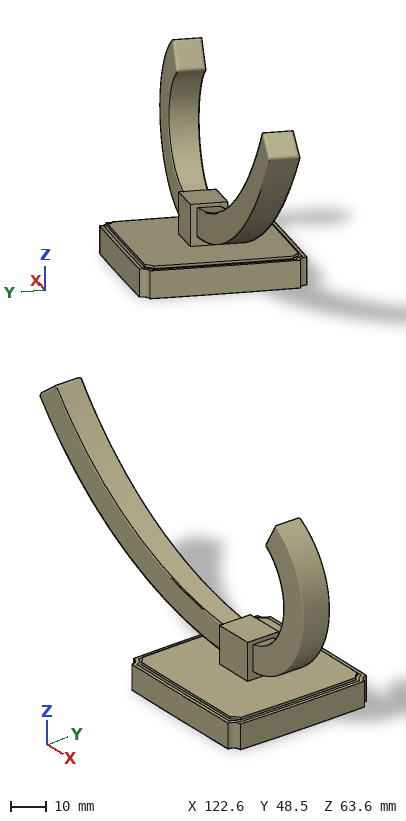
import cadquery as cq
import math

BASE_LENGTH = 49.6
BASE_WIDTH = 48.2
BASE_HEIGHT = 8.1
BOW_X = 0.28
BOW_Y = 0.13
CORNER_RADIUS = 2.5
RIM_THICKNESS = 1.1
PANEL_INSET = 2.0
PANEL_RISE = 0.75
PANEL_TOP = BASE_HEIGHT + PANEL_RISE

BLOCK_LENGTH = 13.0
BLOCK_WIDTH = 10.8
BLOCK_HEIGHT = 12.2

ROOT_SIZE = (6.9, 8.4)
ROOT_OVERLAP = 1.0
TIP_FILLET = 0.9
LONG_EDGE_FILLET = 0.25
LONG_EDGE_COUNT = 4

LONG_MID_SIZE = (8.15, 9.2)
LONG_TIP_SIZE = (9.0, 9.6)
LONG_BEND_RADIUS = 116.0
LONG_BEND_CENTER = (4.75, 131.15)
LONG_TIP_ANGLE = -142.83

SHORT_MID_SIZE = (8.9, 9.5)
SHORT_TIP_SIZE = (8.5, 9.5)
SHORT_BEND_RADIUS = 22.95
SHORT_BEND_CENTER = (3.7, 38.2)
SHORT_TIP_ANGLE = 60.0


def plate(inset, height):
    """Plate with bowed sides and concave round corners, set in from the base outline."""
    corner_x = BASE_LENGTH / 2
    corner_y = BASE_WIDTH / 2
    x = corner_x - inset
    y = corner_y - inset
    radius = CORNER_RADIUS + inset
    reach = math.sqrt(radius**2 - inset**2)
    side_x = corner_x - reach
    side_y = corner_y - reach
    diagonal = radius * math.sqrt(0.5)
    arc_x = corner_x - diagonal
    arc_y = corner_y - diagonal
    return (
        cq.Workplane("XY")
        .moveTo(-side_x, -y)
        .threePointArc((0, -y - BOW_Y), (side_x, -y))
        .threePointArc((arc_x, -arc_y), (x, -side_y))
        .threePointArc((x + BOW_X, 0), (x, side_y))
        .threePointArc((arc_x, arc_y), (side_x, y))
        .threePointArc((0, y + BOW_Y), (-side_x, y))
        .threePointArc((-arc_x, arc_y), (-x, side_y))
        .threePointArc((-x - BOW_X, 0), (-x, -side_y))
        .threePointArc((-arc_x, -arc_y), (-side_x, -y))
        .close()
        .extrude(height)
    )


def make_shell():
    """Outer wall of the base, open for the insert."""
    return plate(0, BASE_HEIGHT).cut(plate(RIM_THICKNESS, BASE_HEIGHT))


def make_insert():
    """Filling of the shell, with a raised panel stepped in from the rim."""
    return plate(RIM_THICKNESS, BASE_HEIGHT).union(plate(PANEL_INSET, PANEL_TOP))


def make_block():
    """Plain block standing on the middle of the panel."""
    return (
        cq.Workplane("XY", origin=(0, 0, PANEL_TOP))
        .rect(BLOCK_LENGTH, BLOCK_WIDTH)
        .extrude(BLOCK_HEIGHT)
    )


def make_arm(bend_center, bend_radius, root_x, tip_angle, mid_size, tip_size):
    """Bar curving up from the block side at root_x, with rounded edges and a flush root."""
    center_x, center_z = bend_center
    turn = math.copysign(1, root_x)
    start_x = root_x - turn * ROOT_OVERLAP
    root = -math.acos((start_x - center_x) / bend_radius)
    tip = math.radians(tip_angle)
    middle = (root + tip) / 2

    def point(angle):
        x = center_x + bend_radius * math.cos(angle)
        z = center_z + bend_radius * math.sin(angle)
        return cq.Vector(x, 0, z)

    def section(angle, size):
        tangent = cq.Vector(-turn * math.sin(angle), 0, turn * math.cos(angle))
        plane = cq.Plane(origin=point(angle), xDir=(0, 1, 0), normal=tangent)
        return cq.Workplane(plane).rect(*size).val()

    bend = cq.Edge.makeThreePointArc(point(root), point(middle), point(tip))
    sections = [section(root, ROOT_SIZE), section(middle, mid_size), section(tip, tip_size)]
    bar = cq.Workplane(cq.Solid.sweep_multi(sections, cq.Wire.assembleEdges([bend])))

    tip_face = cq.selectors.NearestToPointSelector(point(tip).toTuple())
    bar = bar.faces(tip_face).edges().fillet(TIP_FILLET)
    edges_by_length = sorted(bar.edges().vals(), key=lambda edge: edge.Length())
    bar = bar.newObject(edges_by_length[-LONG_EDGE_COUNT:]).fillet(LONG_EDGE_FILLET)
    return bar.cut(make_block())


shell = make_shell()
insert = make_insert()
block = make_block()
long_arm = make_arm(
    LONG_BEND_CENTER,
    LONG_BEND_RADIUS,
    -BLOCK_LENGTH / 2,
    LONG_TIP_ANGLE,
    LONG_MID_SIZE,
    LONG_TIP_SIZE,
)
short_arm = make_arm(
    SHORT_BEND_CENTER,
    SHORT_BEND_RADIUS,
    BLOCK_LENGTH / 2,
    SHORT_TIP_ANGLE,
    SHORT_MID_SIZE,
    SHORT_TIP_SIZE,
)

result = cq.Compound.makeCompound(
    [shell.val(), insert.val(), block.val(), long_arm.val(), short_arm.val()]
)